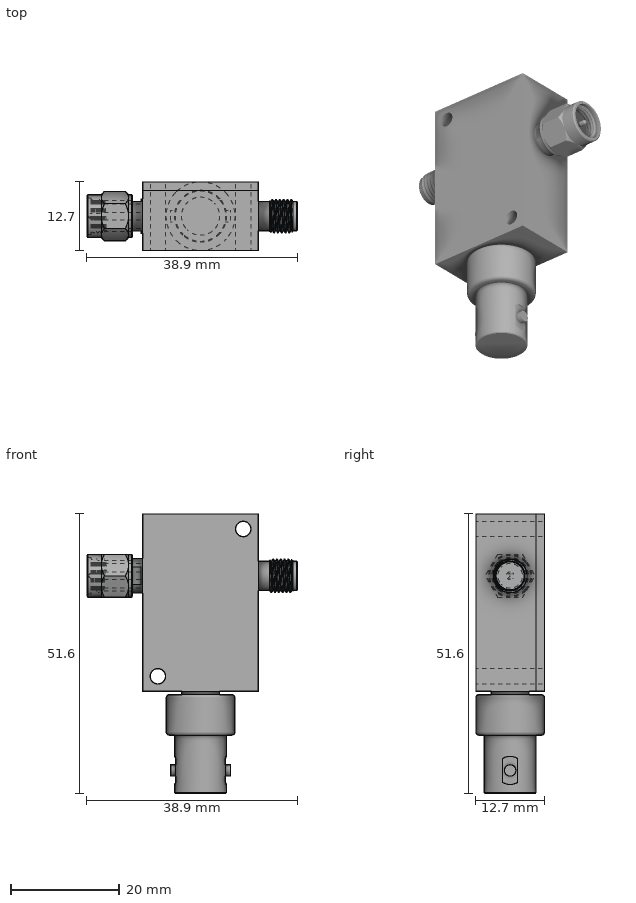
import cadquery as cq
import math


overall_length = 38.86
overall_height = 51.61

box_length = 21.34
box_depth = 12.7
box_height = 32.77
lid_thickness = 1.57
screw_hole_diameter = 2.79
screw_hole_inset = 2.79

sma_axis_drop = 11.43
sma_axis_height = box_height - sma_axis_drop
thread_pitch = 25.4 / 36
thread_major_radius = 3.12
thread_crest_width = 0.06
thread_root_width = 0.6
root_embed = 0.05

plug_reach = 10.31
neck_radius = 3.2
neck_across_flats = 5.48
neck_collar_length = 0.3
nut_length = 8.43
nut_across_flats = 7.94
hex_start = 2.65
hex_end = 7.7
nut_edge_chamfer = 0.2
nut_bore_radius = 2.85
mouth_radius = 3.37
mouth_depth = 0.75
countersink_radius = 3.15
plug_face_depth = 2.65
dielectric_radius = 2.28
contact_radius = 0.72
pin_radius = 0.46
pin_length = 2.3
pin_tip_chamfer = 0.3

jack_length = overall_length - plug_reach - box_length
jack_radius = 2.73
jack_edge_chamfer = 0.15
jack_thread_start = 2.02
jack_thread_end = 6.42
jack_thread_lead = 0.35

bnc_length = overall_height - box_height
bnc_neck_radius = 3.52
bnc_neck_length = 0.6
bnc_collar_radius = 6.35
bnc_collar_length = 7.5
bnc_collar_fillet = 0.6
bnc_barrel_radius = 4.8
bnc_barrel_chamfer = 0.15
lug_radius = 1.05
lug_span = 11.08
lug_height = 4.25
lug_seat_radius = 2.6
lug_seat_across = 9.2

box_left = -box_length / 2
box_right = box_length / 2
nut_front = box_left - plug_reach
plug_face = nut_front + plug_face_depth


def x_cylinder(radius, x_start, x_end):
    """Cylinder on the SMA axis between two X positions."""
    plane = cq.Workplane("YZ", origin=(x_start, 0, sma_axis_height))
    return plane.circle(radius).extrude(x_end - x_start)


def helical_ridge(base_radius, base_width, tip_radius, tip_width, x_start, x_end):
    """Right-hand thread ridge of trapezoid section on the SMA axis, its middle running from x_start to x_end."""
    helix = cq.Wire.makeHelix(thread_pitch, x_end - x_start, base_radius)
    section = (
        cq.Workplane("XZ")
        .moveTo(base_radius, -base_width / 2)
        .lineTo(tip_radius, -tip_width / 2)
        .lineTo(tip_radius, tip_width / 2)
        .lineTo(base_radius, base_width / 2)
        .close()
    )
    ridge = section.sweep(cq.Workplane(helix), isFrenet=True)
    return ridge.rotate((0, 0, 0), (0, 1, 0), 90).translate((x_start, 0, sma_axis_height))


def screw_holes():
    """Two screw holes through the box, in diagonally opposite corners."""
    side = box_length / 2 - screw_hole_inset
    corners = [(-side, screw_hole_inset), (side, box_height - screw_hole_inset)]
    return (
        cq.Workplane("XZ", origin=(0, box_depth / 2, 0))
        .pushPoints(corners)
        .circle(screw_hole_diameter / 2)
        .extrude(box_depth)
    )


def box_slab(y_start, y_end):
    """Slice of the box between two Y positions, with its screw holes."""
    slab = cq.Workplane("XY").box(box_length, y_end - y_start, box_height, centered=(True, False, False))
    return slab.translate((0, y_start, 0)).cut(screw_holes())


def make_coupling_nut():
    """Round sleeve with a hexagon between its ends and a threaded bore."""
    nut_back = nut_front + nut_length
    sleeve = x_cylinder(nut_across_flats / 2, nut_front, nut_back).faces("<X or >X").chamfer(nut_edge_chamfer)

    corner_radius = nut_across_flats / 2 / math.cos(math.pi / 6)
    hexagon = (
        cq.Workplane("YZ", origin=(nut_front + hex_start, 0, sma_axis_height))
        .polygon(6, 2 * corner_radius)
        .extrude(hex_end - hex_start)
    )
    corner_height = corner_radius - nut_across_flats / 2
    hex_envelope = (
        x_cylinder(corner_radius, nut_front + hex_start, nut_front + hex_end)
        .faces("<X or >X")
        .chamfer(corner_height)
    )
    nut = sleeve.union(hexagon.intersect(hex_envelope))

    nut = nut.cut(x_cylinder(nut_bore_radius, nut_front, nut_back))
    nut = nut.cut(x_cylinder(mouth_radius, nut_front, nut_front + mouth_depth))
    countersink_depth = countersink_radius - nut_bore_radius
    countersink_end = nut_front + mouth_depth + countersink_depth
    countersink = x_cylinder(countersink_radius, nut_front, countersink_end)
    nut = nut.cut(countersink.faces(">X").chamfer(countersink_depth))
    groove = helical_ridge(
        nut_bore_radius - root_embed, thread_root_width, thread_major_radius, thread_crest_width,
        nut_front + mouth_depth, plug_face + thread_pitch,
    )
    return nut.cut(groove)


def make_plug_body():
    """Stub that fills the back of the nut, and a neck with two flats behind it."""
    nut_back = nut_front + nut_length
    stub = x_cylinder(nut_bore_radius, plug_face, nut_back)
    neck = x_cylinder(neck_radius, nut_back, box_left)
    flat_length = box_left - neck_collar_length - nut_back
    flats = cq.Workplane("XY").box(flat_length, neck_across_flats, 2 * neck_radius, centered=(False, True, True))
    collar = x_cylinder(neck_radius, box_left - neck_collar_length, box_left)
    neck = neck.intersect(flats.translate((nut_back, 0, sma_axis_height))).union(collar)
    return stub.union(neck).cut(x_cylinder(dielectric_radius, plug_face, box_left))


def make_dielectric():
    """Insulating sleeve between the plug body and its contact."""
    sleeve = x_cylinder(dielectric_radius, plug_face, box_left)
    return sleeve.cut(x_cylinder(contact_radius, plug_face, box_left))


def make_contact():
    """Centre contact: a rod flush with the dielectric and a thinner pin with a pointed tip."""
    rod = x_cylinder(contact_radius, plug_face, box_left)
    pin = x_cylinder(pin_radius, plug_face - pin_length, plug_face).faces("<X").chamfer(pin_tip_chamfer)
    return rod.union(pin)


def make_jack():
    """Barrel of the SMA jack with its outside thread."""
    barrel = x_cylinder(jack_radius, box_right, box_right + jack_length).faces(">X").chamfer(jack_edge_chamfer)
    thread_start = box_right + jack_thread_start
    thread_end = box_right + jack_thread_end
    ridge = helical_ridge(
        jack_radius - root_embed, thread_root_width, thread_major_radius, thread_crest_width,
        thread_start - jack_thread_lead, thread_end + jack_thread_lead,
    )
    envelope = (
        x_cylinder(thread_major_radius + root_embed, thread_start, thread_end)
        .faces("<X or >X")
        .chamfer(thread_major_radius + root_embed - jack_radius)
    )
    return barrel.union(ridge.intersect(envelope))


def make_bnc():
    """BNC connector below the box: neck, rounded collar and barrel with two bayonet lugs."""
    collar_top = -bnc_neck_length
    collar_bottom = collar_top - bnc_collar_length
    neck = cq.Workplane("XY").circle(bnc_neck_radius).extrude(collar_top)
    collar = (
        cq.Workplane("XY", origin=(0, 0, collar_bottom))
        .circle(bnc_collar_radius)
        .extrude(bnc_collar_length)
        .edges()
        .fillet(bnc_collar_fillet)
    )
    barrel = (
        cq.Workplane("XY", origin=(0, 0, -bnc_length))
        .circle(bnc_barrel_radius)
        .extrude(bnc_length + collar_bottom)
        .faces("<Z")
        .chamfer(bnc_barrel_chamfer)
    )
    lug_plane = cq.Workplane("YZ", origin=(0, 0, lug_height - bnc_length))
    for side in (-1, 1):
        seat = lug_plane.workplane(offset=side * lug_seat_across / 2).circle(lug_seat_radius)
        barrel = barrel.cut(seat.extrude(side * bnc_barrel_radius))
    lugs = lug_plane.circle(lug_radius).extrude(lug_span / 2, both=True)
    return neck.union(collar).union(barrel).union(lugs)


lid_front = box_depth / 2 - lid_thickness
housing = box_slab(-box_depth / 2, lid_front)
lid = box_slab(lid_front, box_depth / 2)
coupling_nut = make_coupling_nut()
plug_body = make_plug_body()
dielectric = make_dielectric()
contact = make_contact()
jack = make_jack()
bnc = make_bnc()

bodies = [housing, lid, coupling_nut, plug_body, dielectric, contact, jack, bnc]
result = cq.Compound.makeCompound([body.solids().val() for body in bodies])